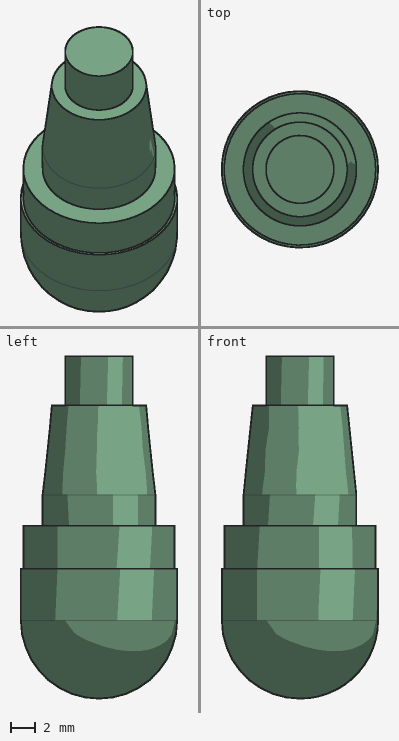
import cadquery as cq
import math

cap_diameter = 12.7
cap_radius = cap_diameter / 2
cap_wall_height = 4.2
cap_top = cap_radius + cap_wall_height

collar_radius = 6.15
collar_height = 3.5
neck_radius = 4.6
neck_height = 2.5
taper_top_radius = 3.85
tip_radius = 2.75
tip_height = 4.0
overall_height = 27.8

collar_top = cap_top + collar_height
neck_top = collar_top + neck_height
tip_base = overall_height - tip_height


def make_cap():
    """Solid cap with its lowest point at the origin."""
    arc_x = cap_radius * math.sin(math.pi / 4)
    arc_z = cap_radius * (1 - math.cos(math.pi / 4))
    return (
        cq.Workplane("XZ")
        .moveTo(0, 0)
        .threePointArc((arc_x, arc_z), (cap_radius, cap_radius))
        .lineTo(cap_radius, cap_top)
        .lineTo(0, cap_top)
        .close()
        .revolve(360, (0, 0, 0), (0, 1, 0))
    )


def make_stem():
    """Collar, straight neck, tapered sleeve and cylindrical tip in one turned body."""
    return (
        cq.Workplane("XZ")
        .moveTo(0, cap_top)
        .lineTo(collar_radius, cap_top)
        .lineTo(collar_radius, collar_top)
        .lineTo(neck_radius, collar_top)
        .lineTo(neck_radius, neck_top)
        .lineTo(taper_top_radius, tip_base)
        .lineTo(tip_radius, tip_base)
        .lineTo(tip_radius, overall_height)
        .lineTo(0, overall_height)
        .close()
        .revolve(360, (0, 0, 0), (0, 1, 0))
    )


cap = make_cap()
stem = make_stem()

result = cq.Compound.makeCompound([cap.val(), stem.val()])